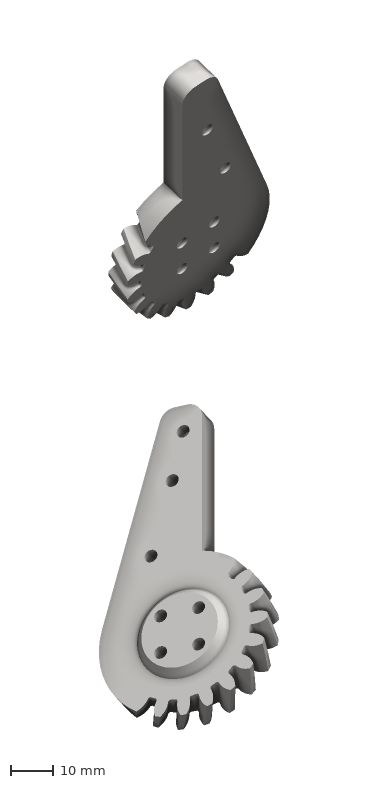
import cadquery as cq
import math

plate_thickness = 7.0
boss_height = 2.0
boss_base_radius = 12.0
boss_top_radius = 10.0

outer_radius = 22.0
root_radius = 17.5
tooth_count = 20
gap_count = 10
first_gap_angle = 45.4
twist_angle = 10.4
gap_floor_angle = 4.4
gap_root_angle = 7.8
gap_corner_height = 0.6
corner_bulge_height = 0.3
corner_bulge_width = 0.7
gap_pitch_angle = 8.8
gap_tip_angle = 14.2
pitch_radius = 20.0
gap_overrun = 0.8

arm_top = 62.0
arm_edge = 4.95
arm_corner_radius = 3.95
arm_lean = 15.9

hole_diameter = 3.4
bolt_offset = 4.95
arm_through_holes = [(-2.85, 42.25), (-8.4, 23.0)]
arm_blind_hole = (0, 54.9)
blind_hole_depth = plate_thickness / 2


def polar(radius, angle):
    """Point at an angle in degrees from the local horizontal axis."""
    return (radius * math.cos(math.radians(angle)), radius * math.sin(math.radians(angle)))


def face_plane(x):
    """Plane facing -X: local horizontal is -Y and local vertical is Z."""
    return cq.Plane(origin=(x, 0, 0), xDir=(0, -1, 0), normal=(-1, 0, 0))


def make_plate():
    back = cq.Workplane(face_plane(plate_thickness))
    disc = back.circle(outer_radius).extrude(plate_thickness)
    tangent = polar(outer_radius, 180 - arm_lean)
    rise = arm_top - tangent[1]
    top_left = (tangent[0] + rise * math.tan(math.radians(arm_lean)), arm_top)
    arm = (
        back.polyline([(0, 0), tangent, top_left, (arm_edge, arm_top), (arm_edge, 0)])
        .close()
        .extrude(plate_thickness)
        .edges("|X and >Z")
        .fillet(arm_corner_radius)
    )
    return disc.union(arm)


def make_boss():
    return (
        cq.Workplane(face_plane(0))
        .circle(boss_base_radius)
        .workplane(offset=boss_height)
        .circle(boss_top_radius)
        .loft()
    )


def make_tooth_gap(angle):
    """Space between two teeth, turning about the X axis through the plate."""
    twist_rate = twist_angle / plate_thickness
    length = plate_thickness + 2 * gap_overrun
    start_angle = angle - twist_angle - twist_rate * gap_overrun
    flank_start_radius = root_radius + gap_corner_height
    mouth_radius = outer_radius + gap_overrun
    half_floor = gap_floor_angle / 2
    half_root = gap_root_angle / 2
    half_pitch = gap_pitch_angle / 2
    half_tip = gap_tip_angle / 2
    corner_radius = root_radius + corner_bulge_height * gap_corner_height
    half_corner = half_floor + corner_bulge_width * (half_root - half_floor)

    def point(radius, offset):
        return polar(radius, start_angle + offset)

    return (
        cq.Workplane(face_plane(plate_thickness + gap_overrun))
        .moveTo(*point(root_radius, -half_floor))
        .threePointArc(point(root_radius, 0), point(root_radius, half_floor))
        .threePointArc(point(corner_radius, half_corner), point(flank_start_radius, half_root))
        .threePointArc(point(pitch_radius, half_pitch), point(outer_radius, half_tip))
        .lineTo(*point(mouth_radius, half_tip))
        .lineTo(*point(mouth_radius, -half_tip))
        .lineTo(*point(outer_radius, -half_tip))
        .threePointArc(point(pitch_radius, -half_pitch), point(flank_start_radius, -half_root))
        .threePointArc(point(corner_radius, -half_corner), point(root_radius, -half_floor))
        .close()
        .twistExtrude(length, twist_rate * length)
    )


def make_holes():
    bolts = [(u * bolt_offset, v * bolt_offset) for u in (-1, 1) for v in (-1, 1)]
    through = (
        cq.Workplane(face_plane(plate_thickness))
        .pushPoints(bolts + arm_through_holes)
        .circle(hole_diameter / 2)
        .extrude(plate_thickness + boss_height)
    )
    blind = (
        cq.Workplane(face_plane(blind_hole_depth))
        .center(*arm_blind_hole)
        .circle(hole_diameter / 2)
        .extrude(blind_hole_depth)
    )
    return through.union(blind)


result = make_plate()
for gap_index in range(gap_count):
    result = result.cut(make_tooth_gap(first_gap_angle - gap_index * 360 / tooth_count))
result = result.union(make_boss()).cut(make_holes())